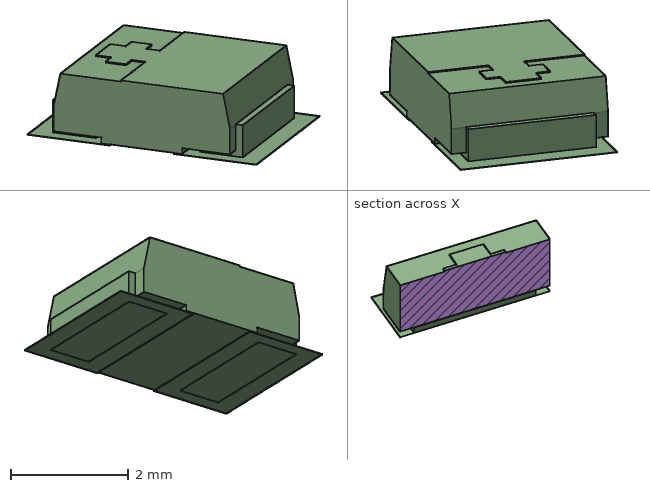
import cadquery as cq

length = 4.22
width = 2.82
height = 1.2

plate_thickness = 0.01
plate_inner_x = 0.59

body_half_length = 1.625
body_top_half_length = 1.5
body_bottom_z = 0.125
foot_half_length = 0.743
foot_bottom_z = 0.02

lead_thickness = 0.125
lead_width = 2.295
lead_top_z = 0.585
lead_inner_x = 0.96
lead_outer_x = body_half_length + lead_thickness

recess_depth = 0.02
recess_edge_x = -0.385
cross_tip_x = -1.3
cross_half_width = 0.32
arm_left_x = -1.013
arm_right_x = -0.637
arm_half_span = 0.575


def block(x_start, x_end, y_size, z_start, z_end):
    """Box between two X and two Z positions, centred on Y."""
    return cq.Workplane("XY").box(
        x_end - x_start, y_size, z_end - z_start, centered=(False, True, False)
    ).translate((x_start, 0, z_start))


def make_body():
    """Body with tapered upper ends and a shallow central foot."""
    return (
        cq.Workplane("XZ")
        .moveTo(-foot_half_length, foot_bottom_z)
        .lineTo(foot_half_length, foot_bottom_z)
        .lineTo(foot_half_length, body_bottom_z)
        .lineTo(body_half_length, body_bottom_z)
        .lineTo(body_half_length, lead_top_z)
        .lineTo(body_top_half_length, height)
        .lineTo(-body_top_half_length, height)
        .lineTo(-body_half_length, lead_top_z)
        .lineTo(-body_half_length, body_bottom_z)
        .lineTo(-foot_half_length, body_bottom_z)
        .close()
        .extrude(width / 2, both=True)
    )


def make_recess():
    """Cutter for the lowered top area, with the cross left standing."""
    floor_z = height - recess_depth
    lowered = block(-body_half_length, recess_edge_x, width, floor_z, height)
    stem = block(cross_tip_x, recess_edge_x, 2 * cross_half_width, floor_z, height)
    arms = block(arm_left_x, arm_right_x, 2 * arm_half_span, floor_z, height)
    return lowered.cut(stem).cut(arms)


def make_terminal():
    """Solder plate and L-shaped lead at the +X end."""
    plate = block(plate_inner_x, length / 2, width, 0, plate_thickness)
    lead_foot = block(lead_inner_x, lead_outer_x, lead_width, plate_thickness, body_bottom_z)
    lead_wall = block(body_half_length, lead_outer_x, lead_width, plate_thickness, lead_top_z)
    return plate.union(lead_foot).union(lead_wall)


terminal = make_terminal()
result = make_body().cut(make_recess()).union(terminal).union(terminal.mirror("YZ"))